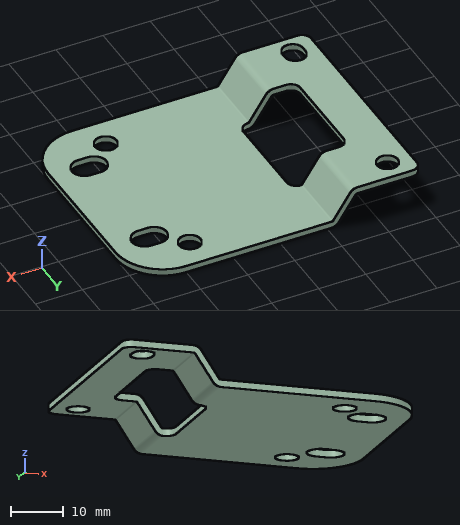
import cadquery as cq
import math

LENGTH = 60.0
WIDTH = 48.0
HEIGHT = 7.8
THICKNESS = 1.5
RAISED_CORNER_RADIUS = 2.0
LOW_CORNER_RADIUS = 10.0

BEND_START_X = 13.6
BEND_ANGLE = 56.0
INNER_BEND_RADIUS = 0.5
OUTER_BEND_RADIUS = INNER_BEND_RADIUS + THICKNESS

WINDOW_START_X = 9.0
WINDOW_LENGTH = 12.0
WINDOW_WIDTH = 22.0
WINDOW_CORNER_RADIUS = 2.0

TAB_HOLE_X = 5.0
TAB_HOLE_Y = 19.5
TAB_HOLE_DIAMETER = 4.3
TAB_SLOT_LENGTH = 5.35

PLATE_HOLE_X = 45.95
PLATE_HOLE_Y = 17.5
PLATE_HOLE_DIAMETER = 4.5
PLATE_SLOT_X = 52.0
PLATE_SLOT_Y = 12.55
PLATE_SLOT_LENGTH = 7.25
PLATE_SLOT_WIDTH = 5.2


def make_bent_sheet():
    """Extrude the joggled side profile across the width and round its bends."""
    angle = math.radians(BEND_ANGLE)
    radius_sum = INNER_BEND_RADIUS + OUTER_BEND_RADIUS
    drop = HEIGHT - THICKNESS
    slope_length = (drop - radius_sum * (1 - math.cos(angle))) / math.sin(angle)
    bend_end_x = BEND_START_X + radius_sum * math.sin(angle) + slope_length * math.cos(angle)

    inner_setback = INNER_BEND_RADIUS * math.tan(angle / 2)
    outer_setback = OUTER_BEND_RADIUS * math.tan(angle / 2)
    upper_outer = (BEND_START_X + outer_setback, HEIGHT)
    upper_inner = (BEND_START_X + inner_setback, drop)
    lower_inner = (bend_end_x - inner_setback, THICKNESS)
    lower_outer = (bend_end_x - outer_setback, 0)

    sheet = (
        cq.Workplane("XZ")
        .polyline([
            (0, HEIGHT), upper_outer, lower_inner, (LENGTH, THICKNESS),
            (LENGTH, 0), lower_outer, upper_inner, (0, drop),
        ])
        .close()
        .extrude(WIDTH / 2, both=True)
    )
    bends = (
        (upper_outer, OUTER_BEND_RADIUS),
        (upper_inner, INNER_BEND_RADIUS),
        (lower_inner, INNER_BEND_RADIUS),
        (lower_outer, OUTER_BEND_RADIUS),
    )
    for (x, z), radius in bends:
        nearest_edge = cq.selectors.NearestToPointSelector((x, 0, z))
        sheet = sheet.edges("|Y").edges(nearest_edge).fillet(radius)
    return sheet


def make_window():
    """Rounded rectangular cutter passing through both levels."""
    return (
        cq.Workplane("XY")
        .center(WINDOW_START_X + WINDOW_LENGTH / 2, 0)
        .rect(WINDOW_LENGTH, WINDOW_WIDTH)
        .extrude(HEIGHT)
        .edges("|Z")
        .fillet(WINDOW_CORNER_RADIUS)
    )


def make_hole(x, y, diameter):
    """Round through cutter."""
    return cq.Workplane("XY").center(x, y).circle(diameter / 2).extrude(HEIGHT)


def make_slot(x, y, length, width, angle=0):
    """Round-ended through cutter."""
    return cq.Workplane("XY").center(x, y).slot2D(length, width, angle).extrude(HEIGHT)


bracket = make_bent_sheet()
bracket = bracket.edges("|Z and <X").fillet(RAISED_CORNER_RADIUS)
bracket = bracket.edges("|Z and >X").fillet(LOW_CORNER_RADIUS)

bracket = bracket.cut(make_window())
bracket = bracket.cut(make_hole(TAB_HOLE_X, TAB_HOLE_Y, TAB_HOLE_DIAMETER))
bracket = bracket.cut(make_slot(TAB_HOLE_X, -TAB_HOLE_Y, TAB_SLOT_LENGTH, TAB_HOLE_DIAMETER, angle=90))

for side in (-1, 1):
    bracket = bracket.cut(make_hole(PLATE_HOLE_X, side * PLATE_HOLE_Y, PLATE_HOLE_DIAMETER))
    bracket = bracket.cut(
        make_slot(PLATE_SLOT_X, side * PLATE_SLOT_Y, PLATE_SLOT_LENGTH, PLATE_SLOT_WIDTH)
    )

result = bracket